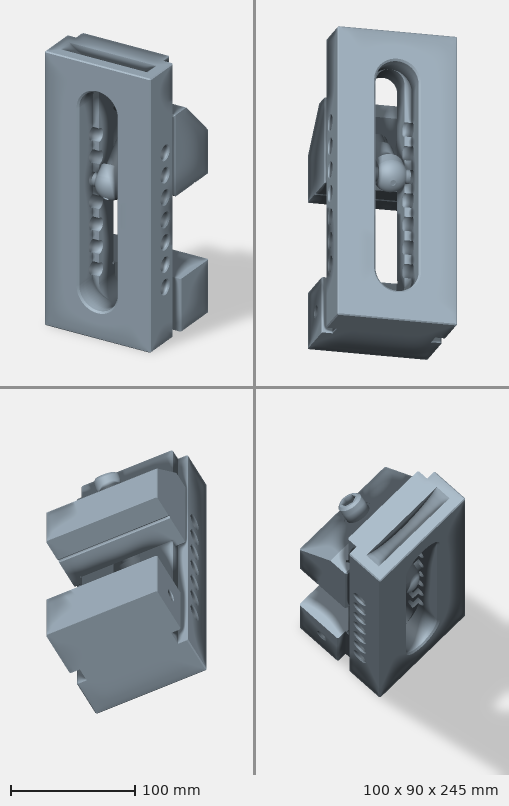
import cadquery as cq
import math

width = 100.0
height = 245.0
depth = 90.0
flange_depth = 34.5
rail_width = 82.0
rail_y = 44.5
edge_chamfer = 1.0
step_chamfer = 0.5

slot_margin = 25.0
slot_length = height - 2 * slot_margin
wide_slot = 36.0
narrow_slot = 24.0
slot_chamfer = 1.6

hole_diameter = 12.0
hole_chamfer = 1.0
hole_count = 7
hole_row_length = 120.0
hole_pitch = hole_row_length / (hole_count - 1)
first_hole_z = 50.0
hole_y = 22.5
pin_position = 4
pin_z = first_hole_z + pin_position * hole_pitch

pocket_y = 9.8
pocket_thickness = 14.0
pocket_sagitta = 15.2

fixed_jaw_y = 46.8
fixed_jaw_top = 47.0
relief_radius = 1.5
tapped_hole_diameter = 8.5
tapped_hole_chamfer = 1.0
tapped_hole_depth = 15.0
drill_point_angle = 118
tapped_hole_y = 65.0
tapped_hole_z = 23.3

jaw_bottom = 124.2
jaw_top = 197.0
jaw_front_y = 37.5
jaw_slope_y = 55.1
jaw_foot_chamfer = 1.5
channel_y = 45.0
groove_y = 67.5
groove_depth = 1.5
channel_relief_radius = 1.0

axis_angle = 45
seat_station = 70.0
recess_station = 56.0
recess_width = 31.8
recess_reach = 24.0
counterbore_diameter = 25.7
clearance_diameter = 18.0

head_diameter = 21.0
head_height = 15.2
head_chamfer = 2.0
hex_flats = 12.0
hex_depth = 7.0
shank_diameter = 14.0
shank_start = 20.0

eye_diameter = 27.5
eye_thickness = 22.5
eye_station = 11.0
sleeve_diameter = 20.0
sleeve_station = 39.7
dimple_diameter = 5.0
dimple_depth = 1.2

pin_diameter = 12.0
pin_length = 31.4
pin_end_diameter = 10.3
ring_width = 2.2


def box(x_size, y_range, z_range):
    """A block centred on X that spans the given Y and Z ranges."""
    y_size = y_range[1] - y_range[0]
    z_size = z_range[1] - z_range[0]
    block = cq.Workplane("XY").box(x_size, y_size, z_size, centered=(True, False, False))
    return block.translate((0, y_range[0], z_range[0]))


def cross_cylinder(diameter, length, y, z):
    """A cylinder along X, centred on X = 0."""
    return cq.Workplane("YZ").center(y, z).circle(diameter / 2).extrude(length / 2, both=True)


def place_on_axis(shape):
    """Turn a shape built along +Z from the origin onto the clamping axis."""
    turned = shape.rotate((0, 0, 0), (1, 0, 0), -axis_angle)
    return turned.translate((0, hole_y, pin_z))


def axis_cylinder(diameter, start, end):
    """A cylinder along +Z between two stations, before it is placed on the clamping axis."""
    return cq.Workplane("XY").workplane(offset=start).circle(diameter / 2).extrude(end - start)


def slot_cutter(slot_width, y_start, y_end):
    profile = cq.Workplane("XZ", origin=(0, y_start, height / 2))
    return profile.slot2D(slot_length, slot_width, 90).extrude(y_start - y_end)


def slot_chamfer_cutter():
    """Tapered slot that bevels the front rim of the wide slot."""
    rim = cq.Workplane("XZ", origin=(0, 0, height / 2))
    rim = rim.slot2D(slot_length + 2 * slot_chamfer, wide_slot + 2 * slot_chamfer, 90)
    return rim.extrude(-slot_chamfer, taper=45)


def side_hole_cutter(diameter, chamfer, hole_depth, y, z):
    """A hole drilled from the -X side, with a chamfered rim."""
    start = cq.Workplane("YZ", origin=(-width / 2, y, z))
    drill = start.circle(diameter / 2).extrude(hole_depth)
    rim = start.circle(diameter / 2 + chamfer).extrude(chamfer, taper=45)
    return drill.union(rim)


def tapped_hole_cutter():
    """Blind hole in the -X side of the fixed jaw, ending in a drill cone."""
    radius = tapped_hole_diameter / 2
    drill = side_hole_cutter(
        tapped_hole_diameter, tapped_hole_chamfer, tapped_hole_depth, tapped_hole_y, tapped_hole_z)
    cone_length = radius / math.tan(math.radians(drill_point_angle / 2))
    cone_base = cq.Vector(tapped_hole_depth - width / 2, tapped_hole_y, tapped_hole_z)
    cone = cq.Solid.makeCone(radius, 0, cone_length, cone_base, cq.Vector(1, 0, 0))
    return drill.union(cq.Workplane(cone))


def arched_pocket_cutter():
    half_chord = rail_width / 2
    profile = cq.Workplane("XZ", origin=(0, pocket_y, height)).moveTo(-half_chord, 0)
    profile = profile.threePointArc((0, -pocket_sagitta), (half_chord, 0)).close()
    return profile.extrude(-pocket_thickness)


def make_base():
    flange = box(width, (0, flange_depth), (0, height))
    flange = flange.edges("|Y or <Y").chamfer(edge_chamfer)
    flange = flange.edges(">Y and |Z").chamfer(step_chamfer)
    rail = box(rail_width, (flange_depth - 2.5, rail_y), (0, height))
    rail = rail.edges(">Y and |Z").chamfer(edge_chamfer)
    neck = box(rail_width, (flange_depth, fixed_jaw_y), (0, fixed_jaw_top))
    jaw = box(width, (fixed_jaw_y, depth), (0, fixed_jaw_top))
    jaw = jaw.edges("|Z").chamfer(edge_chamfer)
    base = flange.union(rail).union(neck).union(jaw)

    base = base.cut(cross_cylinder(2 * relief_radius, width, rail_y, fixed_jaw_top))
    base = base.cut(slot_cutter(wide_slot, 0, hole_y))
    base = base.cut(slot_cutter(narrow_slot, hole_y, fixed_jaw_y))
    base = base.cut(slot_chamfer_cutter())
    for i in range(hole_count):
        z = first_hole_z + i * hole_pitch
        hole = side_hole_cutter(hole_diameter, hole_chamfer, width / 2, hole_y, z)
        base = base.cut(hole).cut(hole.mirror("YZ"))
    base = base.cut(tapped_hole_cutter())
    return base.cut(arched_pocket_cutter())


def make_sliding_jaw():
    slope_drop = depth - jaw_slope_y
    jaw = box(width, (jaw_front_y, depth), (jaw_bottom, jaw_top)).edges("|Z and >Y").chamfer(edge_chamfer)
    jaw = jaw.faces("<Y").edges().chamfer(jaw_foot_chamfer)
    slope = cq.Workplane("YZ").polyline([
        (jaw_slope_y, jaw_top),
        (depth, jaw_top),
        (depth, jaw_top - slope_drop),
    ]).close().extrude(width / 2, both=True)
    groove = cq.Workplane("YZ").polyline([
        (groove_y - groove_depth, jaw_bottom),
        (groove_y + groove_depth, jaw_bottom),
        (groove_y, jaw_bottom + groove_depth),
    ]).close().extrude(width / 2, both=True)
    jaw = jaw.cut(slope).cut(groove)

    jaw = jaw.cut(box(rail_width, (jaw_front_y, channel_y), (jaw_bottom, jaw_top)))
    for x in (-rail_width / 2, rail_width / 2):
        relief = cq.Workplane("XY", origin=(x, channel_y, jaw_bottom))
        jaw = jaw.cut(relief.circle(channel_relief_radius).extrude(jaw_top - jaw_bottom))

    recess = axis_cylinder(recess_width, 0, recess_station)
    recess = recess.union(box(recess_width, (-recess_reach, 0), (0, recess_station)))
    clearance = axis_cylinder(clearance_diameter, 0, seat_station)
    counterbore = axis_cylinder(counterbore_diameter, seat_station, seat_station + head_height)
    for cutter in (recess, clearance, counterbore):
        jaw = jaw.cut(place_on_axis(cutter))
    return jaw


def make_screw():
    head_top = seat_station + head_height
    head = axis_cylinder(head_diameter, seat_station, head_top).faces(">Z").edges().chamfer(head_chamfer)
    shank = axis_cylinder(shank_diameter, shank_start, seat_station)
    hex_corners = hex_flats / math.cos(math.radians(30))
    socket = cq.Workplane("XY").workplane(offset=head_top).polygon(6, hex_corners).extrude(-hex_depth)
    socket = socket.rotate((0, 0, 0), (0, 0, 1), 30)
    return place_on_axis(head.union(shank).cut(socket))


def make_eye_nut():
    eye = axis_cylinder(eye_diameter, 0, eye_station).union(cq.Workplane("XY").sphere(eye_diameter / 2))
    eye = eye.intersect(cq.Workplane("XY").box(eye_thickness, 2 * eye_diameter, 2 * eye_diameter))
    nut = eye.union(axis_cylinder(sleeve_diameter, 0, sleeve_station))
    nut = nut.cut(axis_cylinder(shank_diameter, shank_start, sleeve_station))
    eye_radius = eye_diameter / 2
    nut = nut.cut(axis_cylinder(dimple_diameter, -eye_radius, dimple_depth - eye_radius))
    nut = nut.cut(cross_cylinder(pin_diameter, width, 0, 0))
    return place_on_axis(nut)


def make_pin():
    middle = cross_cylinder(pin_diameter, pin_length - 2 * ring_width, hole_y, pin_z)
    return middle.union(cross_cylinder(pin_end_diameter, pin_length, hole_y, pin_z))


def make_ring(side):
    """A ring on one end of the pin; side is -1 or +1."""
    start = cq.Workplane("YZ", origin=(side * pin_length / 2, hole_y, pin_z))
    return start.circle(pin_diameter / 2).circle(pin_end_diameter / 2).extrude(-side * ring_width)


base = make_base()
sliding_jaw = make_sliding_jaw()
screw = make_screw()
eye_nut = make_eye_nut()
pin = make_pin()
rings = [make_ring(side) for side in (-1, 1)]

result = cq.Compound.makeCompound([
    base.val(),
    sliding_jaw.val(),
    screw.val(),
    eye_nut.val(),
    pin.val(),
    *[ring.val() for ring in rings],
])